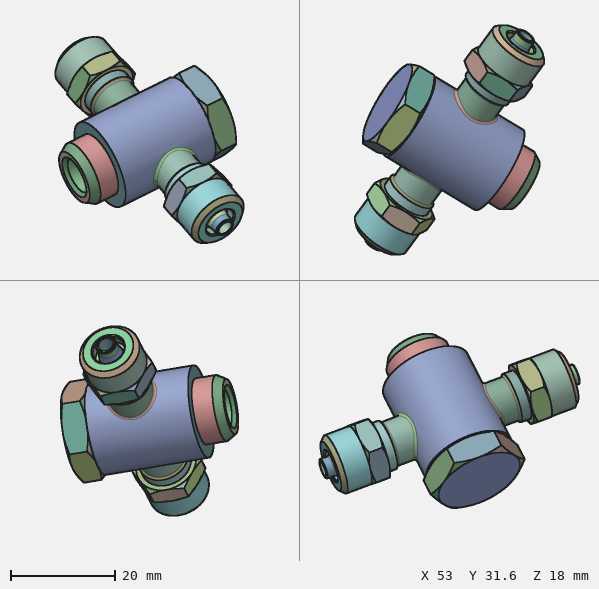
import cadquery as cq
import math


body_radius = 9.0
body_front = -11.35
body_back = 9.3
head_thickness = 5.0
head_flats = 17.05
spigot_radius = 6.45
spigot_length = 5.9
spigot_chamfer_length = 1.8
spigot_tip_radius = 5.4

bolt_bore_radius = 3.5
bolt_bore_mouth_radius = 4.25
bolt_bore_end = 3.5

neck_radius = 4.5
neck_fillet = 0.55
collar_start = 13.05
collar_radius = 5.0
nut_start = 15.0
nut_end = 18.85
nut_flats = 12.0
cap_end = 24.85
cap_chamfer = 0.95
hex_chamfer_angle = 30.0

stem_end = 26.5
stem_radius = 2.0
stem_tip_chamfer = 0.15
stem_root_radius = 2.45
arm_bore_radius = 1.5
recess_radius = 3.15
recess_depth = 2.2
recess_chamfer = 0.25

cap_radius = nut_flats / 2
collar_fillet = collar_radius - neck_radius
spigot_end = body_front - spigot_length
recess_floor = cap_end - recess_depth


def revolve_about_x(outline):
    return outline.close().revolve(360, (0, 0, 0), (1, 0, 0))


def revolve_about_y(outline):
    return outline.close().revolve(360, (0, 0, 0), (0, 1, 0))


def chamfered_hexagon(flats, thickness):
    """Hexagon along local Z from 0, with both ends turned down to its inscribed circle."""
    inner = flats / 2
    corner = inner / math.cos(math.pi / 6)
    drop = (corner - inner) * math.tan(math.radians(hex_chamfer_angle))
    prism = cq.Workplane("XY").polygon(6, 2 * corner).extrude(thickness)
    envelope = (
        cq.Workplane("XZ")
        .moveTo(0, 0)
        .lineTo(inner, 0)
        .lineTo(corner, drop)
        .lineTo(corner, thickness - drop)
        .lineTo(inner, thickness)
        .lineTo(0, thickness)
        .close()
        .revolve(360, (0, 0, 0), (0, 1, 0))
    )
    return prism.intersect(envelope)


def body_with_necks():
    """Round body crossed by the neck cylinder, with filleted junctions."""
    body_length = body_back - body_front
    body = cq.Workplane("XZ", origin=(0, body_back, 0)).circle(body_radius).extrude(body_length)
    necks = cq.Workplane("YZ").circle(neck_radius).extrude(collar_start, both=True)
    junction = cq.selectors.BoxSelector(
        (-body_radius - neck_fillet, -neck_radius - neck_fillet, -body_radius),
        (body_radius + neck_fillet, neck_radius + neck_fillet, body_radius),
        boundingbox=True,
    )
    return body.union(necks).edges(junction).fillet(neck_fillet)


def bolt_head():
    """Hexagon head with flats facing up and down and corners along X."""
    return (
        chamfered_hexagon(head_flats, head_thickness)
        .rotate((0, 0, 0), (1, 0, 0), -90)
        .translate((0, body_back, 0))
    )


def bolt_spigot():
    return revolve_about_y(
        cq.Workplane("XY")
        .moveTo(0, body_front)
        .lineTo(spigot_radius, body_front)
        .lineTo(spigot_radius, spigot_end + spigot_chamfer_length)
        .lineTo(spigot_tip_radius, spigot_end)
        .lineTo(0, spigot_end)
    )


def bolt_bore():
    """Flat-bottomed bore with a 45 degree mouth, reaching past the arm bores."""
    mouth_depth = bolt_bore_mouth_radius - bolt_bore_radius
    return revolve_about_y(
        cq.Workplane("XY")
        .moveTo(0, spigot_end)
        .lineTo(bolt_bore_mouth_radius, spigot_end)
        .lineTo(bolt_bore_radius, spigot_end + mouth_depth)
        .lineTo(bolt_bore_radius, bolt_bore_end)
        .lineTo(0, bolt_bore_end)
    )


def arm():
    """Collar, union nut, cap and hose stem of the arm on the +X side."""
    turned = revolve_about_x(
        cq.Workplane("XY")
        .moveTo(collar_start - collar_fillet, 0)
        .lineTo(collar_start - collar_fillet, neck_radius)
        .radiusArc((collar_start, collar_radius), -collar_fillet)
        .lineTo(nut_end, collar_radius)
        .lineTo(nut_end, cap_radius)
        .lineTo(cap_end - cap_chamfer, cap_radius)
        .lineTo(cap_end, cap_radius - cap_chamfer)
        .lineTo(cap_end, recess_radius + recess_chamfer)
        .lineTo(cap_end - recess_chamfer, recess_radius)
        .lineTo(recess_floor, recess_radius)
        .lineTo(recess_floor, stem_root_radius)
        .lineTo(cap_end, stem_radius)
        .lineTo(stem_end - stem_tip_chamfer, stem_radius)
        .lineTo(stem_end, stem_radius - stem_tip_chamfer)
        .lineTo(stem_end, 0)
    )
    nut = (
        chamfered_hexagon(nut_flats, nut_end - nut_start)
        .rotate((0, 0, 0), (0, 0, 1), 90)
        .rotate((0, 0, 0), (0, 1, 0), 90)
        .translate((nut_start, 0, 0))
    )
    return turned.union(nut)


right_arm = arm()
left_arm = right_arm.mirror("YZ")
arm_bore = cq.Workplane("YZ").circle(arm_bore_radius).extrude(stem_end, both=True)

result = (
    body_with_necks()
    .union(bolt_head())
    .union(bolt_spigot())
    .union(right_arm)
    .union(left_arm)
    .cut(bolt_bore())
    .cut(arm_bore)
)